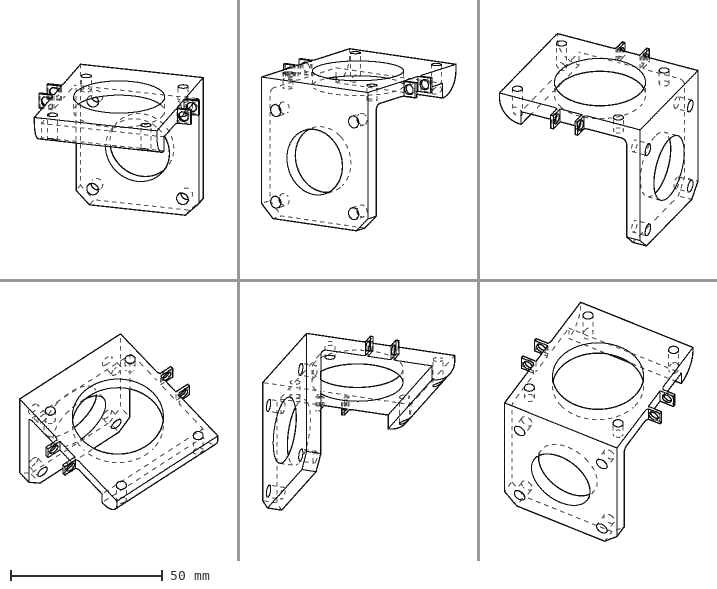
import cadquery as cq
import math

overall_width = 52.3
depth = 52.0
height = 47.3
body_width = 42.3
plate_thickness = 5.0
inner_corner_radius = 2.0

lip_radius = 8.0
lip_flat = 2.0

bottom_chamfer = 4.6
motor_bore_diameter = 22.0
motor_hole_pitch = 30.95
motor_hole_diameter = 4.0

top_bore_diameter = 30.0
top_bore_y = -25.5
top_hole_diameter = 3.3
left_hole_x = -16.1
right_front_hole_x = 16.1
right_back_hole_x = 17.3
back_hole_y = -10.0
front_hole_y = -47.9

tab_thickness = 1.0
tab_pair_width = 10.0
tab_hole_diameter = 3.35
root_height = 0.5
root_length = 1.4

half_width = body_width / 2
tab_length = (overall_width - body_width) / 2


def make_body():
    """L-shaped bracket with a quarter-round lip, extruded across X."""
    lip_inner_y = -depth + lip_radius
    arc_offset = lip_radius * math.sqrt(0.5)
    profile = (
        cq.Workplane("YZ")
        .moveTo(0, 0)
        .lineTo(0, -height)
        .lineTo(-plate_thickness, -height)
        .lineTo(-plate_thickness, -plate_thickness - inner_corner_radius)
        .radiusArc(
            (-plate_thickness - inner_corner_radius, -plate_thickness), -inner_corner_radius
        )
        .lineTo(lip_inner_y, -plate_thickness)
        .lineTo(lip_inner_y, -lip_flat - lip_radius)
        .threePointArc(
            (lip_inner_y - arc_offset, -lip_flat - arc_offset), (-depth, -lip_flat)
        )
        .lineTo(-depth, 0)
        .close()
    )
    body = profile.extrude(half_width, both=True)
    return body.faces("<Z").edges("|Y").chamfer(bottom_chamfer)


def make_back_plate_holes():
    """Motor bore and its four screw holes, through the back plate only."""
    bore_z = -height + half_width
    plane = cq.Workplane("XZ", origin=(0, 0, bore_z))
    bore = plane.circle(motor_bore_diameter / 2).extrude(plate_thickness)
    screws = (
        plane.rect(motor_hole_pitch, motor_hole_pitch, forConstruction=True)
        .vertices()
        .circle(motor_hole_diameter / 2)
        .extrude(plate_thickness)
    )
    return bore.union(screws)


def make_top_plate_holes():
    """Large bore and four small holes, right through the top plate and the lip."""
    bore = (
        cq.Workplane("XY", origin=(0, top_bore_y, 0))
        .circle(top_bore_diameter / 2)
        .extrude(-plate_thickness)
    )
    small_hole_centres = [
        (left_hole_x, back_hole_y),
        (right_back_hole_x, back_hole_y),
        (left_hole_x, front_hole_y),
        (right_front_hole_x, front_hole_y),
    ]
    small_holes = (
        cq.Workplane("XY")
        .pushPoints(small_hole_centres)
        .circle(top_hole_diameter / 2)
        .extrude(-lip_flat - lip_radius)
    )
    return bore.union(small_holes)


def make_tab():
    """Right-hand back tab, with a curved root on its outer face."""
    outer_y = top_bore_y + tab_pair_width / 2
    inner_y = outer_y - tab_thickness
    root_radius = (root_length**2 + root_height**2) / (2 * root_height)
    tab = (
        cq.Workplane("XY")
        .moveTo(half_width, inner_y)
        .lineTo(overall_width / 2, inner_y)
        .lineTo(overall_width / 2, outer_y)
        .lineTo(half_width + root_height, outer_y)
        .radiusArc((half_width, outer_y + root_length), root_radius)
        .close()
        .extrude(-plate_thickness)
    )
    hole = (
        cq.Workplane("XZ", origin=(half_width + tab_length / 2, outer_y, -plate_thickness / 2))
        .circle(tab_hole_diameter / 2)
        .extrude(tab_thickness)
    )
    return tab.cut(hole)


def make_tabs():
    """Two tabs on each side, mirrored about the top bore centre."""
    back_tab = make_tab()
    right_pair = back_tab.union(back_tab.mirror("XZ", (0, top_bore_y, 0)))
    return right_pair.union(right_pair.mirror("YZ"))


result = (
    make_body()
    .cut(make_back_plate_holes())
    .cut(make_top_plate_holes())
    .union(make_tabs())
)